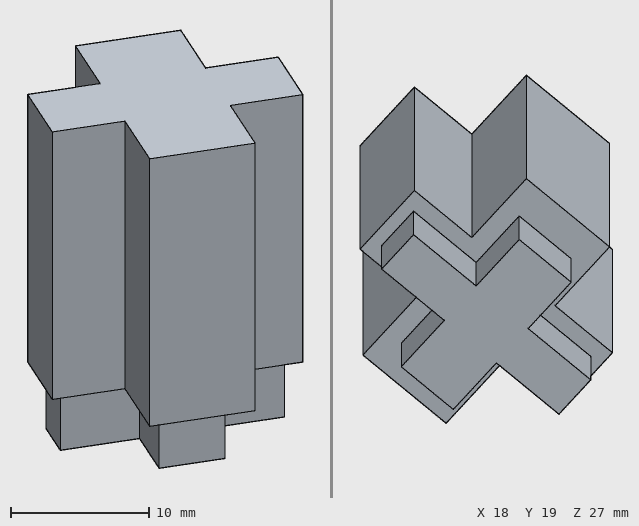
import cadquery as cq

total_height = 27.0
plug_height = 5.0
body_height = total_height - plug_height

body_length_x = 18.0
body_length_y = 19.0
body_arm_width_x = 8.0
body_arm_width_y = 6.0

plug_length_x = 13.0
plug_length_y = 17.0
plug_arm_width_x = 5.0
plug_arm_width_y = 3.5


def cross_prism(length_x, length_y, arm_width_x, arm_width_y, height, base_z):
    """Upright prism with a plus-shaped section centred on the Z axis."""
    base = cq.Workplane("XY").workplane(offset=base_z)
    arm_along_x = base.rect(length_x, arm_width_x).extrude(height)
    arm_along_y = base.rect(arm_width_y, length_y).extrude(height)
    return arm_along_x.union(arm_along_y)


plug = cross_prism(
    plug_length_x, plug_length_y, plug_arm_width_x, plug_arm_width_y, plug_height, 0
)

body = cross_prism(
    body_length_x, body_length_y, body_arm_width_x, body_arm_width_y, body_height, plug_height
)

result = body.union(plug)